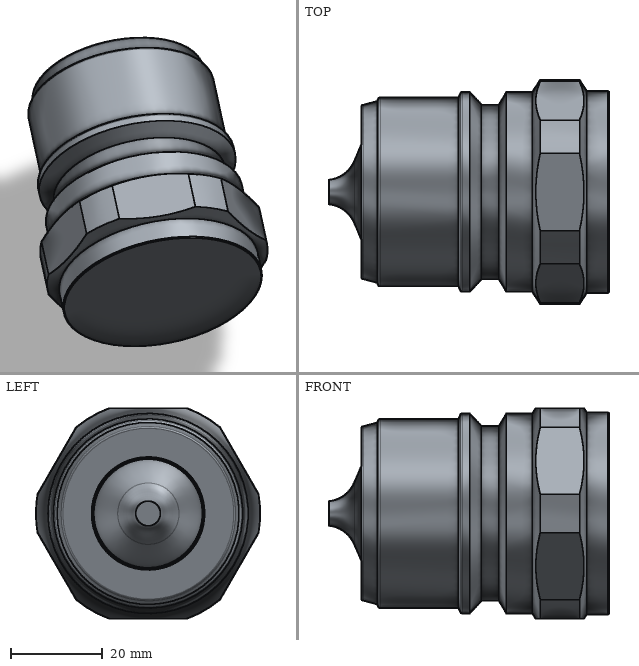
import cadquery as cq
import math


length = 61.15
nose_x = 7.1
shoulder_x = 10.5
collar_x = 28.25
collar_flat_end = 30.7
groove_start = 33.3
groove_end = 37.1
neck_start = 38.75
neck_end = 44.4
tail_start = 56.25

nose_radius = 19.05
barrel_radius = 20.65
collar_radius = 21.85
groove_radius = 19.1
tail_radius = 22.1
hex_turned_radius = 24.5
hex_across_flats = 46.0

nose_taper = math.radians(15)
nose_round = 0.4
step_angle = math.radians(65)
step_round = 0.5
tail_chamfer = 0.25
hex_chamfer_slope = math.tan(math.radians(33))

tip_radius = 2.7
flare_end_x = 5.5
flare_angle = math.radians(67)
flare_end_radius = 6.7
stem_radius = 11.85
bore_radius = 12.15
bore_chamfer = 0.2


def rounded_step(profile, start_x, start_radius, top_radius):
    """Steep cone rising towards +X, rounded tangentially onto a cylinder."""
    cone_top_radius = top_radius - step_round * (1 - math.cos(step_angle))
    cone_top_x = start_x + (cone_top_radius - start_radius) / math.tan(step_angle)
    round_end_x = cone_top_x + step_round * math.sin(step_angle)
    profile = profile.lineTo(start_x, start_radius).lineTo(cone_top_x, cone_top_radius)
    return profile.radiusArc((round_end_x, top_radius), step_round)


def turned_body():
    """Everything but the hexagon flats, as one revolved outline."""
    flare_rise = flare_end_radius - tip_radius
    chord_angle = math.atan2(flare_rise, flare_end_x)
    flare_radius = math.hypot(flare_end_x, flare_rise) / (2 * math.sin(flare_angle - chord_angle))
    stem_end_x = flare_end_x + (stem_radius - flare_end_radius) / math.tan(flare_angle)

    taper_start = nose_x + nose_round
    shoulder_foot = nose_radius + (shoulder_x - taper_start) * math.tan(nose_taper)
    hex_front = neck_end + (hex_turned_radius - collar_radius) * hex_chamfer_slope
    hex_rear = tail_start - (hex_turned_radius - tail_radius) * hex_chamfer_slope

    profile = cq.Workplane("XY").moveTo(0, 0).lineTo(0, tip_radius)
    profile = profile.radiusArc((flare_end_x, flare_end_radius), -flare_radius)
    profile = (
        profile.lineTo(stem_end_x, stem_radius)
        .lineTo(stem_end_x, bore_radius)
        .lineTo(nose_x + bore_chamfer, bore_radius)
        .lineTo(nose_x, bore_radius + bore_chamfer)
    )
    profile = profile.lineTo(nose_x, nose_radius - nose_round)
    profile = profile.radiusArc((taper_start, nose_radius), nose_round)
    profile = rounded_step(profile, shoulder_x, shoulder_foot, barrel_radius)
    profile = rounded_step(profile, collar_x, barrel_radius, collar_radius)
    profile = (
        profile.lineTo(collar_flat_end, collar_radius)
        .lineTo(groove_start, groove_radius)
        .lineTo(groove_end, groove_radius)
        .lineTo(neck_start, collar_radius)
        .lineTo(neck_end, collar_radius)
        .lineTo(hex_front, hex_turned_radius)
        .lineTo(hex_rear, hex_turned_radius)
        .lineTo(tail_start, tail_radius)
        .lineTo(length - tail_chamfer, tail_radius)
        .lineTo(length, tail_radius - tail_chamfer)
        .lineTo(length, 0)
        .close()
    )
    return profile.revolve(360, (0, 0, 0), (1, 0, 0))


def hexagon_bar():
    """Hexagonal bar along X with corners on the Y axis and flats facing up and down."""
    across_corners = hex_across_flats / math.cos(math.pi / 6)
    return cq.Workplane("YZ").polygon(6, across_corners).extrude(length)


result = turned_body().intersect(hexagon_bar())